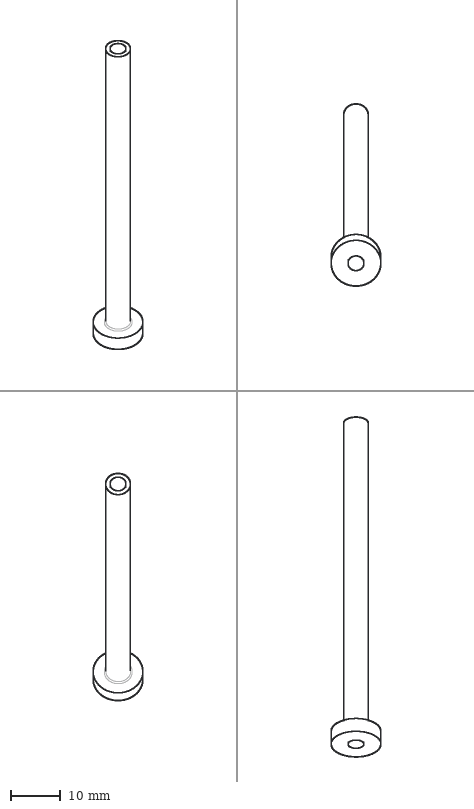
import cadquery as cq

total_length = 75.0
head_diameter = 10.0
head_height = 3.0
shaft_diameter = 5.0
bore_diameter = 3.2
root_fillet_radius = 0.3


def head():
    """Flat disc whose underside lies on the XY plane."""
    return cq.Workplane("XY").circle(head_diameter / 2).extrude(head_height)


def add_shaft(body):
    """Round shaft rising from the head, with a small fillet at its root."""
    shaft = cq.Workplane("XY").circle(shaft_diameter / 2).extrude(total_length)
    shoulder_top = cq.selectors.NearestToPointSelector((head_diameter / 2, 0, head_height))
    root_edge = cq.selectors.RadiusNthSelector(0)
    joined = body.union(shaft)
    return joined.faces("|Z").faces(shoulder_top).edges(root_edge).fillet(root_fillet_radius)


def cut_bore(body):
    """Bore running the full length of the part."""
    bore = cq.Workplane("XY").circle(bore_diameter / 2).extrude(total_length)
    return body.cut(bore)


result = cut_bore(add_shaft(head()))